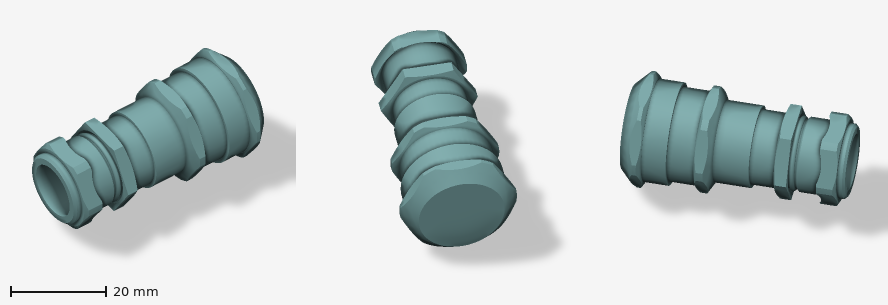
import cadquery as cq
import math

LENGTH = 48.0
FRONT_Y = -LENGTH / 2

THREAD_RADIUS = 8.0
THREAD_CHAMFER = 0.55
BORE_RADIUS = 6.0
BORE_DEPTH = 24.0

SMALL_FLATS = 18.0
LOCK_NUT_START = 1.65
LOCK_NUT_END = 5.7
LOCK_NUT_CORNER_RADIUS = 9.95
LOCK_NUT_FACE_RADIUS = SMALL_FLATS / 2
DISH_RIM_RADIUS = 9.65

GROOVE_RADIUS = 7.5
GROOVE_START = 10.1
SEAL_SECTION_RADIUS = 0.6
SEAL_STATION = 11.5

FIXED_HEX_START = 12.05
FIXED_HEX_END = 15.05
FIXED_HEX_BACK_RADIUS = 8.7
FIXED_HEX_CHAMFER = 0.6
RECESS_RADIUS = 8.45
RECESS_DEPTH = 0.6

COLLAR_RADIUS = 8.8
COLLAR_START = 20.45
COLLAR_END = 28.2

MIDDLE_FLATS = 21.0
MIDDLE_NUT_END = 32.05
MIDDLE_NUT_CORNER_RADIUS = 11.5
SLEEVE_RADIUS = 10.1

SKIRT_RADIUS = 11.0
SKIRT_START = 37.8
CLAMP_FLATS = 23.0
CLAMP_NUT_START = 43.05
CLAMP_CORNER_DIAMETER = 25.0
CLAMP_FRONT_RADIUS = 11.15
CLAMP_BACK_RADIUS = 9.2

CHAMFER_SLOPE = math.tan(math.radians(30))
STEEP_SLOPE = 1.0

HEX_CORNER_RATIO = 2 / math.sqrt(3)


def turned(outline):
    """Revolve an outline of (radius, station) points about the Y axis."""
    return (
        cq.Workplane("XY", origin=(0, FRONT_Y, 0))
        .polyline(outline)
        .close()
        .revolve(360, (0, 0, 0), (0, 1, 0))
    )


def cylinder(radius, start, end):
    return turned([(0, start), (radius, start), (radius, end), (0, end)])


def hex_prism(flats, start, end):
    """Hexagonal bar with one pair of flats facing up and down and corners on X."""
    return (
        cq.Workplane("XZ", origin=(0, FRONT_Y + start, 0))
        .polygon(6, flats * HEX_CORNER_RATIO)
        .extrude(start - end)
    )


def hex_nut(flats, outline):
    """Hexagonal bar trimmed to a turned outline."""
    stations = [station for _, station in outline]
    return hex_prism(flats, min(stations), max(stations)).intersect(turned(outline))


def chamfered_nut(flats, corner_radius, start, front_radius, end, back_radius, back_slope):
    """Hexagonal nut whose corners are turned down and coned at both ends."""
    front_rise = (corner_radius - front_radius) * CHAMFER_SLOPE
    back_rise = (corner_radius - back_radius) * back_slope
    return hex_nut(flats, [
        (0, start),
        (front_radius, start),
        (corner_radius, start + front_rise),
        (corner_radius, end - back_rise),
        (back_radius, end),
        (0, end),
    ])


def thread_end():
    """Chamfered thread that narrows at 45 degrees into the seal groove."""
    neck = THREAD_RADIUS - GROOVE_RADIUS
    return turned([
        (0, 0),
        (THREAD_RADIUS - THREAD_CHAMFER, 0),
        (THREAD_RADIUS, THREAD_CHAMFER),
        (THREAD_RADIUS, GROOVE_START),
        (GROOVE_RADIUS, GROOVE_START + neck),
        (GROOVE_RADIUS, FIXED_HEX_END),
        (0, FIXED_HEX_END),
    ])


def lock_nut():
    """Nut with a chamfered front and a conical dish sunk 45 degrees into its back."""
    front_rise = (LOCK_NUT_CORNER_RADIUS - LOCK_NUT_FACE_RADIUS) * CHAMFER_SLOPE
    dish_depth = DISH_RIM_RADIUS - THREAD_RADIUS
    return hex_nut(SMALL_FLATS, [
        (0, LOCK_NUT_START),
        (LOCK_NUT_FACE_RADIUS, LOCK_NUT_START),
        (LOCK_NUT_CORNER_RADIUS, LOCK_NUT_START + front_rise),
        (LOCK_NUT_CORNER_RADIUS, LOCK_NUT_END),
        (DISH_RIM_RADIUS, LOCK_NUT_END),
        (THREAD_RADIUS, LOCK_NUT_END - dish_depth),
        (0, LOCK_NUT_END - dish_depth),
    ])


def seal_ring():
    """Outer half of a round-section ring standing in the groove, level with the thread."""
    core_radius = THREAD_RADIUS - SEAL_SECTION_RADIUS
    return (
        cq.Workplane("XY", origin=(0, FRONT_Y, 0))
        .moveTo(core_radius, SEAL_STATION - SEAL_SECTION_RADIUS)
        .threePointArc((THREAD_RADIUS, SEAL_STATION), (core_radius, SEAL_STATION + SEAL_SECTION_RADIUS))
        .close()
        .revolve(360, (0, 0, 0), (0, 1, 0))
    )


def fixed_hex():
    """Sharp-cornered hexagon, coned at the back, with a seal recess in its front."""
    corner_radius = SMALL_FLATS / 2 * HEX_CORNER_RATIO
    body = hex_nut(SMALL_FLATS, [
        (0, FIXED_HEX_START),
        (corner_radius, FIXED_HEX_START),
        (corner_radius, FIXED_HEX_END - FIXED_HEX_CHAMFER),
        (FIXED_HEX_BACK_RADIUS, FIXED_HEX_END),
        (0, FIXED_HEX_END),
    ])
    recess = turned([
        (0, FIXED_HEX_START),
        (RECESS_RADIUS, FIXED_HEX_START),
        (GROOVE_RADIUS, FIXED_HEX_START + RECESS_DEPTH),
        (0, FIXED_HEX_START + RECESS_DEPTH),
    ])
    return body.cut(recess)


def middle_nut():
    return chamfered_nut(
        MIDDLE_FLATS, MIDDLE_NUT_CORNER_RADIUS,
        COLLAR_END, COLLAR_RADIUS, MIDDLE_NUT_END, SLEEVE_RADIUS, CHAMFER_SLOPE,
    )


def clamping_nut():
    """End nut with a steep 45 degree cone down to the closed end."""
    return chamfered_nut(
        CLAMP_FLATS, CLAMP_CORNER_DIAMETER / 2,
        CLAMP_NUT_START, CLAMP_FRONT_RADIUS, LENGTH, CLAMP_BACK_RADIUS, STEEP_SLOPE,
    )


parts = [
    lock_nut(),
    fixed_hex(),
    cylinder(THREAD_RADIUS, FIXED_HEX_END, COLLAR_START),
    cylinder(COLLAR_RADIUS, COLLAR_START, COLLAR_END),
    middle_nut(),
    cylinder(SLEEVE_RADIUS, MIDDLE_NUT_END, SKIRT_START),
    cylinder(SKIRT_RADIUS, SKIRT_START, CLAMP_NUT_START),
    clamping_nut(),
    seal_ring(),
]
gland = thread_end()
for part in parts:
    gland = gland.union(part)

result = gland.cut(cylinder(BORE_RADIUS, 0, BORE_DEPTH))